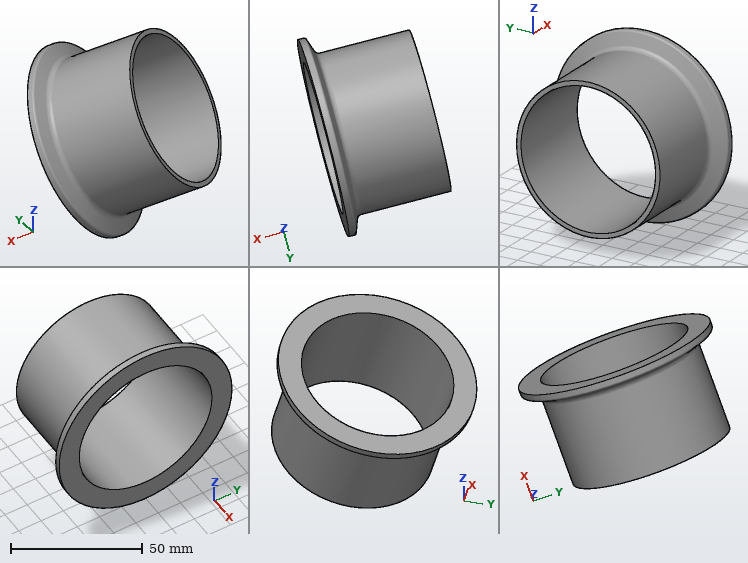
import cadquery as cq
import math

overall_length = 42.0
bore_diameter = 59.5
tube_diameter = 63.5
flange_diameter = 77.5
rim_thickness = 2.85
flange_back_angle = 20.0
root_fillet_radius = 2.0
rim_fillet_radius = 0.9

bore_radius = bore_diameter / 2
tube_radius = tube_diameter / 2
flange_radius = flange_diameter / 2
cone_length = (flange_radius - tube_radius) * math.tan(math.radians(flange_back_angle))
rim_start = overall_length - rim_thickness
cone_start = rim_start - cone_length


def make_ferrule_blank():
    """Revolve the sharp-cornered half section (X along the axis, Y radial)."""
    section = (
        cq.Workplane("XY")
        .moveTo(0, bore_radius)
        .lineTo(0, tube_radius)
        .lineTo(cone_start, tube_radius)
        .lineTo(rim_start, flange_radius)
        .lineTo(overall_length, flange_radius)
        .lineTo(overall_length, bore_radius)
        .close()
    )
    return section.revolve(360, (0, 0, 0), (1, 0, 0))


def round_circular_edge(body, axial_position, fillet_radius):
    """Fillet the outer circular edge lying at the given position along X."""
    edge_centre = (axial_position, 0, 0)
    edge = body.edges("%CIRCLE").edges(cq.selectors.NearestToPointSelector(edge_centre))
    return edge.fillet(fillet_radius)


ferrule = make_ferrule_blank()
ferrule = round_circular_edge(ferrule, cone_start, root_fillet_radius)
ferrule = round_circular_edge(ferrule, rim_start, rim_fillet_radius)
result = ferrule